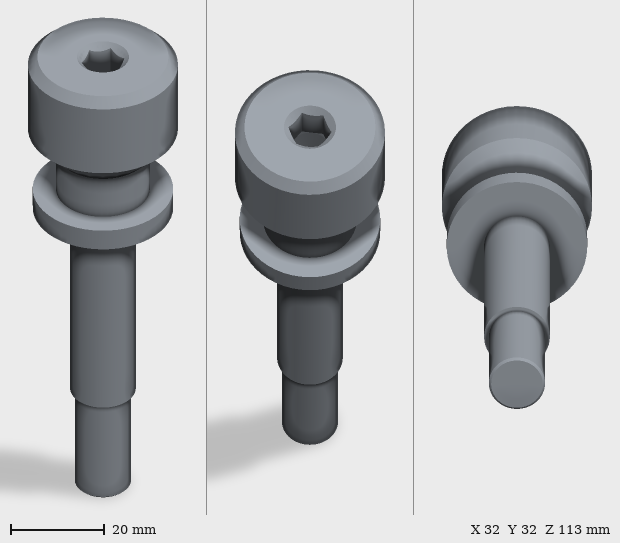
import cadquery as cq
import math

total_length = 113.0

head_diameter = 32.0
head_chamfer = 2.0
neck_diameter = 20.0
neck_top = total_length - 25.0
head_underside_height = (head_diameter - neck_diameter) / 2

collar_diameter = 30.0
collar_thickness = 5.0
collar_top = total_length - 35.0
collar_bottom = collar_top - collar_thickness
shank_diameter = 14.0
tip_diameter = 12.0
tip_length = 25.0
tip_chamfer = 0.5

socket_across_flats = 8.0
socket_across_corners = socket_across_flats / math.cos(math.radians(30))
socket_depth = 8.0
countersink_diameter = 11.1
countersink_half_angle = 45.0
drill_point_half_angle = 60.0


def cylinder(diameter, bottom, top):
    """Cylinder on the Z axis between two heights."""
    return cq.Workplane("XY").workplane(offset=bottom).circle(diameter / 2).extrude(top - bottom)


def downward_cone(diameter, top, half_angle):
    """Cone on the Z axis with its base at the given height and its apex below."""
    radius = diameter / 2
    height = radius / math.tan(math.radians(half_angle))
    profile = cq.Workplane("XZ").moveTo(0, top).lineTo(radius, top).lineTo(0, top - height).close()
    return profile.revolve(360, (0, 0, 0), (0, 1, 0))


def make_head():
    """Cylinder chamfered at the top and tapered to the neck below."""
    head = cylinder(head_diameter, neck_top, total_length)
    head = head.faces(">Z").chamfer(head_chamfer)
    return head.faces("<Z").chamfer(head_underside_height)


def make_socket():
    """Countersunk hexagon with corners along Y and a conical floor."""
    socket_floor = total_length - socket_depth
    hexagon = (
        cq.Workplane("XY")
        .workplane(offset=socket_floor)
        .transformed(rotate=(0, 0, 90))
        .polygon(6, socket_across_corners)
        .extrude(socket_depth)
    )
    countersink = downward_cone(countersink_diameter, total_length, countersink_half_angle)
    drill_point = downward_cone(socket_across_flats, socket_floor, drill_point_half_angle)
    return hexagon.union(countersink).union(drill_point)


tip = cylinder(tip_diameter, 0, tip_length).faces("<Z").chamfer(tip_chamfer)
shank = cylinder(shank_diameter, tip_length, collar_bottom)
collar = cylinder(collar_diameter, collar_bottom, collar_top)
neck = cylinder(neck_diameter, collar_top, neck_top)

result = tip.union(shank).union(collar).union(neck).union(make_head()).cut(make_socket())